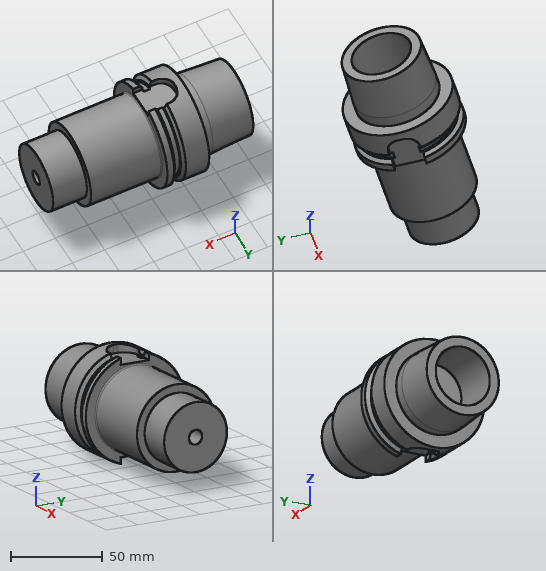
import cadquery as cq


shank_length = 32.0
shank_radius = 24.0
shank_land_length = 6.3
taper_end_x = -shank_land_length
taper_slope = 0.05
taper_length = shank_length - shank_land_length
shank_tip_radius = shank_radius - taper_slope * taper_length

flange_length = 26.0
flange_radius = 31.5
groove_start_x = 16.25
groove_width = 3.75
groove_end_x = groove_start_x + groove_width
groove_floor_radius = 27.5
groove_wall_radius = 28.8
groove_chamfer_length = 1.75

body_end_x = 70.0
body_radius = 25.0
body_fillet_radius = 0.65
total_length = 122.9
nose_end_x = total_length - shank_length
nose_radius = 20.1

shank_bore_radius = 17.0
shank_bore_depth = shank_length
through_hole_radius = 4.2

slot_width = 18.0
slot_start_x = 4.85
slot_corner_radius = 8.0
slot_floor_z = 26.5


def turned_body():
    """Solid of revolution holding the shank, grooved flange, body and nose."""
    half_profile = [
        (-shank_length, 0),
        (-shank_length, shank_tip_radius),
        (taper_end_x, shank_radius),
        (0, shank_radius),
        (0, flange_radius),
        (groove_start_x - groove_chamfer_length, flange_radius),
        (groove_start_x, groove_wall_radius),
        (groove_start_x, groove_floor_radius),
        (groove_end_x, groove_floor_radius),
        (groove_end_x, groove_wall_radius),
        (groove_end_x + groove_chamfer_length, flange_radius),
        (flange_length, flange_radius),
        (flange_length, body_radius),
        (body_end_x, body_radius),
        (body_end_x, nose_radius),
        (nose_end_x, nose_radius),
        (nose_end_x, 0),
    ]
    profile = cq.Workplane("XY").polyline(half_profile).close()
    turned = profile.revolve(360, (0, 0, 0), (1, 0, 0))
    flange_end = cq.selectors.BoxSelector(
        (flange_length - body_fillet_radius, -flange_radius, -flange_radius),
        (flange_length + body_fillet_radius, flange_radius, flange_radius),
    )
    inner_circle = cq.selectors.RadiusNthSelector(0)
    return turned.edges("%CIRCLE").edges(flange_end).edges(inner_circle).fillet(body_fillet_radius)


def axial_bore(radius, depth):
    """Cylinder running in from the shank tip along the axis."""
    return cq.Workplane("YZ", origin=(-shank_length, 0, 0)).circle(radius).extrude(depth)


def driver_slot(side):
    """Round-ended slot cutter; side is +1 for the +Z slot and -1 for the -Z slot."""
    slot_length = flange_length - slot_start_x
    slot_depth = flange_radius - slot_floor_z
    cutter_center = (slot_start_x + slot_length / 2, 0, side * (slot_floor_z + slot_depth / 2))
    cutter = cq.Workplane("XY").box(slot_length, slot_width, slot_depth)
    return cutter.edges("|Z and <X").fillet(slot_corner_radius).translate(cutter_center)


result = turned_body()
result = result.cut(axial_bore(shank_bore_radius, shank_bore_depth))
result = result.cut(axial_bore(through_hole_radius, total_length))
for side in (1, -1):
    result = result.cut(driver_slot(side))